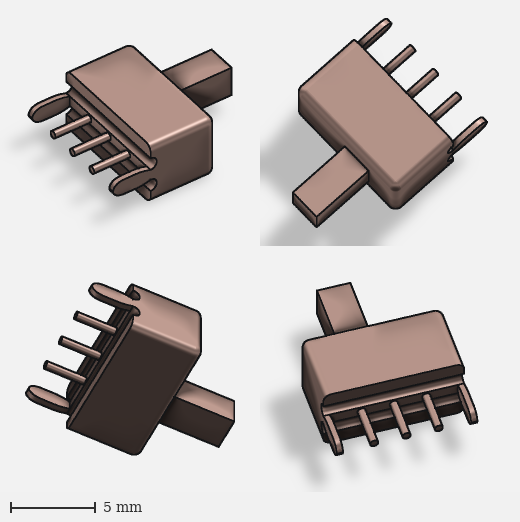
import cadquery as cq

overall_depth = 11.62
housing_width = 8.7
housing_depth = 4.7
housing_height = 4.39
edge_radius = 0.5

groove_radius = 0.44
groove_offset = 0.81

lever_width = 2.07
lever_height = 2.1
lever_length = 4.2
lever_center_x = -1.01

pin_diameter = 0.5
pin_length = 2.6
pin_pitch = 2.0
pin_count = 3

tab_length = overall_depth - housing_depth - lever_length
tab_thickness = 0.4
tab_root_half_height = groove_offset - groove_radius
tab_shoulder_distance = 0.58
tab_shoulder_half_height = 0.52
tab_widest_distance = 1.57
tab_widest_half_height = 0.57
tab_nose_distance = 2.46
tab_nose_half_height = 0.42


def make_housing():
    """Block with every edge rounded except those around the terminal face."""
    block = cq.Workplane("XY").box(housing_width, housing_depth, housing_height)
    block = block.translate((0, housing_depth / 2, 0))
    block = block.edges("|Y or >Y").fillet(edge_radius)
    grooves = (
        cq.Workplane("YZ")
        .pushPoints([(0, groove_offset), (0, -groove_offset)])
        .circle(groove_radius)
        .extrude(housing_width / 2, both=True)
    )
    return block.cut(grooves)


def make_lever():
    return (
        cq.Workplane("XY")
        .box(lever_width, lever_length, lever_height)
        .translate((lever_center_x, housing_depth + lever_length / 2, 0))
    )


def make_pins():
    return (
        cq.Workplane("XZ")
        .rarray(pin_pitch, 0.12, pin_count, 1)
        .circle(pin_diameter / 2)
        .extrude(pin_length)
    )


def make_tab(start_x):
    """Leaf-shaped plate that swells from its root and ends in a round nose."""
    root_top = (0, tab_root_half_height)
    shoulder = (-tab_shoulder_distance, tab_shoulder_half_height)
    widest_top = (-tab_widest_distance, tab_widest_half_height)
    nose = (-tab_nose_distance, tab_nose_half_height)
    tip = (-tab_length, 0)
    upper_half = (
        cq.Workplane("YZ", origin=(start_x, 0, 0))
        .moveTo(*root_top)
        .spline([shoulder, widest_top, nose, tip], includeCurrent=True)
        .lineTo(0, 0)
        .close()
        .extrude(tab_thickness)
    )
    return upper_half.union(upper_half.mirror("XY"))


result = make_housing().union(make_lever()).union(make_pins())
for tab_start_x in (-housing_width / 2, housing_width / 2 - tab_thickness):
    result = result.union(make_tab(tab_start_x))